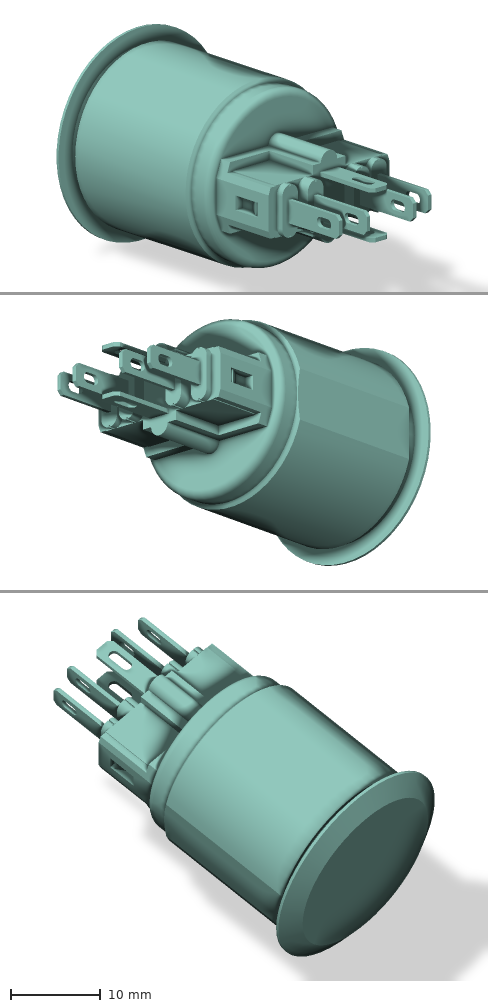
import cadquery as cq


bezel_diameter = 25.0
bezel_face_diameter = 20.05
bezel_cone_length = 1.35
bezel_length = 1.7
barrel_diameter = 20.8
thread_diameter = 21.83
thread_start = 2.75
thread_end = 21.2
thread_taper_length = 0.4
thread_flat_distance = 10.5
barrel_end = 24.0
barrel_fillet = 0.9

block_end = 32.55
block_half_width = 9.2
block_shoulder_half_width = 8.47
block_half_height = 4.2
block_side_half_height = 2.15
rib_radius = 1.25
rib_top = 5.45

recess_start = 25.45
recess_inner_y = 2.5
recess_step_y = 8.1
recess_floor_z = 3.1
recess_ledge_z = 3.0

window_start = 27.18
window_end = 30.77
window_height = 1.7
window_depth = 1.1
ramp_start = 28.75
ramp_end = 30.25
latch_edge_depth = 0.15

pin_width = 2.75
pin_thickness = 0.5
pin_corner = 0.5
pin_embed = 0.43
pin_hole_width = 1.25
pin_hole_end_gap = 1.33
side_hole_length = 2.3
middle_hole_length = 3.15
middle_pin_z = 2.9
middle_pin_end = 41.1
inner_pin_y = 3.5
inner_pin_end = 42.8
outer_pin_y = 6.75
outer_pin_end = 41.77

collar_width = 2.35
collar_height = 6.25
collar_slit_width = 0.2
collar_slit_depth = 0.2
inner_collar_end = 34.15
outer_collar_end = 33.45


def box(x_range, y_range, z_range):
    """Axis-aligned box from the two limits on each axis."""
    size = [high - low for low, high in (x_range, y_range, z_range)]
    corner = (x_range[0], y_range[0], z_range[0])
    return cq.Workplane("XY").box(*size, centered=False).translate(corner)


def disc(diameter, start, end):
    """Cylinder along X between two stations."""
    return cq.Workplane("YZ").workplane(offset=start).circle(diameter / 2).extrude(end - start)


def make_housing():
    """Bezel, barrel and thread band; the thread has one flat on +Y."""
    bezel = (
        cq.Workplane("XY")
        .moveTo(0, 0)
        .lineTo(0, bezel_face_diameter / 2)
        .lineTo(bezel_cone_length, bezel_diameter / 2)
        .lineTo(bezel_length, bezel_diameter / 2)
        .lineTo(bezel_length, 0)
        .close()
        .revolve(360, (0, 0, 0), (1, 0, 0))
    )
    barrel = disc(barrel_diameter, bezel_cone_length, barrel_end)
    barrel = barrel.faces(">X").edges().fillet(barrel_fillet)

    thread = disc(thread_diameter, thread_start, thread_end)
    end_taper = (
        cq.Workplane("XY")
        .moveTo(thread_end - thread_taper_length, thread_diameter / 2)
        .lineTo(thread_end, thread_diameter / 2)
        .lineTo(thread_end, barrel_diameter / 2)
        .close()
        .revolve(360, (0, 0, 0), (1, 0, 0))
    )
    thread = thread.cut(end_taper)
    flat_cut = box(
        (thread_start, thread_end),
        (thread_flat_distance, thread_diameter),
        (-thread_diameter, thread_diameter),
    )
    return bezel.union(barrel).union(thread.cut(flat_cut))


def make_block_recess(side_y, side_z):
    """Stepped recess in one quarter of the block; side_y and side_z are +1 or -1."""
    floor = box(
        (recess_start, block_end),
        (recess_inner_y, block_half_width),
        (recess_floor_z, block_half_height),
    )
    ledge = box(
        (recess_start, block_end),
        (recess_step_y, block_half_width),
        (recess_ledge_z, block_half_height),
    )
    recess = floor.union(ledge)
    if side_y < 0:
        recess = recess.mirror("XZ")
    if side_z < 0:
        recess = recess.mirror("XY")
    return recess


def make_latch_window(side_y):
    """Window in one side of the block, with a ramp that rises to a latch edge."""
    inner_y = block_half_width - window_depth
    half_height = window_height / 2
    window = box(
        (window_start, window_end),
        (inner_y, block_half_width),
        (-half_height, half_height),
    )
    ramp = (
        cq.Workplane("XY")
        .workplane(offset=-half_height)
        .moveTo(ramp_start, inner_y)
        .lineTo(ramp_end, inner_y)
        .lineTo(ramp_end, block_half_width - latch_edge_depth)
        .close()
        .extrude(window_height)
    )
    window = window.cut(ramp)
    return window if side_y > 0 else window.mirror("XZ")


def make_block():
    """Eight-sided terminal block with round ribs, recesses and latch windows."""
    length = block_end - barrel_end
    block = (
        cq.Workplane("YZ")
        .workplane(offset=barrel_end)
        .polyline([
            (block_half_width, -block_side_half_height),
            (block_half_width, block_side_half_height),
            (block_shoulder_half_width, block_half_height),
            (-block_shoulder_half_width, block_half_height),
            (-block_half_width, block_side_half_height),
            (-block_half_width, -block_side_half_height),
            (-block_shoulder_half_width, -block_half_height),
            (block_shoulder_half_width, -block_half_height),
        ])
        .close()
        .extrude(length)
    )
    rib_centre_z = rib_top - rib_radius
    for side_z in (1, -1):
        rib = disc(2 * rib_radius, barrel_end, block_end)
        block = block.union(rib.translate((0, 0, side_z * rib_centre_z)))

    for side_y in (1, -1):
        block = block.cut(make_latch_window(side_y))
        for side_z in (1, -1):
            block = block.cut(make_block_recess(side_y, side_z))
    return block


def make_pin(end, hole_length):
    """Flat terminal lying in the XY plane, with chamfered tip corners and a slotted hole."""
    start = block_end - pin_embed
    half_width = pin_width / 2
    half_thickness = pin_thickness / 2
    pin = box((start, end), (-half_width, half_width), (-half_thickness, half_thickness))
    pin = pin.edges("|Z and >X").chamfer(pin_corner)
    hole = (
        cq.Workplane("XY")
        .center(end - pin_hole_end_gap - hole_length / 2, 0)
        .slot2D(hole_length, pin_hole_width)
        .extrude(pin_thickness, both=True)
    )
    return pin.cut(hole)


def make_side_terminal(y, pin_end, collar_end):
    """Upright terminal in a round-ended collar that is slit at its top and bottom."""
    pin = make_pin(pin_end, side_hole_length).rotate((0, 0, 0), (1, 0, 0), 90)
    collar_start = block_end - pin_embed
    collar = (
        cq.Workplane("YZ")
        .workplane(offset=collar_start)
        .slot2D(collar_height, collar_width, 90)
        .extrude(collar_end - collar_start)
    )
    half_slit = collar_slit_width / 2
    half_height = collar_height / 2
    slit = box(
        (block_end, collar_end),
        (-half_slit, half_slit),
        (half_height - collar_slit_depth, half_height),
    )
    collar = collar.cut(slit).cut(slit.mirror("XY"))
    buried_trim = box(
        (collar_start, block_end),
        (-collar_width, collar_width),
        (recess_ledge_z, half_height),
    )
    collar = collar.cut(buried_trim).cut(buried_trim.mirror("XY"))
    return pin.union(collar).translate((0, y, 0))


result = make_housing().union(make_block())
for side in (1, -1):
    middle_pin = make_pin(middle_pin_end, middle_hole_length)
    result = result.union(middle_pin.translate((0, 0, side * middle_pin_z)))
    result = result.union(make_side_terminal(side * inner_pin_y, inner_pin_end, inner_collar_end))
    result = result.union(make_side_terminal(side * outer_pin_y, outer_pin_end, outer_collar_end))